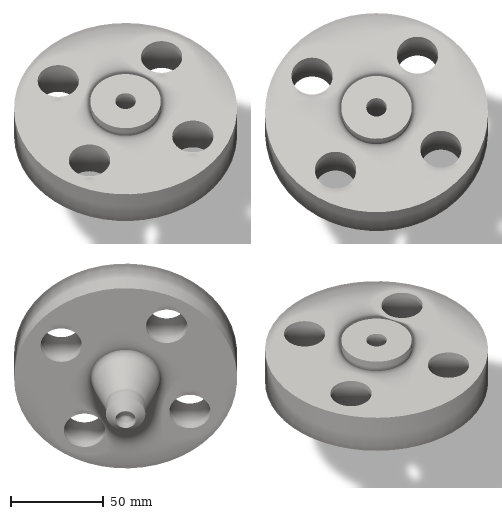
import cadquery as cq

flange_diameter = 120.6
flange_thickness = 22.6
face_diameter = 38.1
face_height = 6.4
hub_diameter = 38.1
hub_height = 25.1
neck_diameter = 21.4
neck_height = 7.7
tip_diameter = 11.3
bevel_height = 5.1
bore_diameter = 11.1
bolt_hole_diameter = 22.3
bolt_spacing = 58.4

neck_bottom = bevel_height
hub_bottom = neck_bottom + neck_height
flange_bottom = hub_bottom + hub_height
flange_top = flange_bottom + flange_thickness
face_top = flange_top + face_height


def make_body():
    """Revolve the half section, leaving the bore open."""
    half_section = (
        cq.Workplane("XZ")
        .moveTo(bore_diameter / 2, 0)
        .lineTo(tip_diameter / 2, 0)
        .lineTo(neck_diameter / 2, neck_bottom)
        .lineTo(neck_diameter / 2, hub_bottom)
        .lineTo(hub_diameter / 2, flange_bottom)
        .lineTo(flange_diameter / 2, flange_bottom)
        .lineTo(flange_diameter / 2, flange_top)
        .lineTo(face_diameter / 2, flange_top)
        .lineTo(face_diameter / 2, face_top)
        .lineTo(bore_diameter / 2, face_top)
        .close()
    )
    return half_section.revolve(360, (0, 0, 0), (0, 1, 0))


def make_bolt_holes():
    """Four through-hole cutters on a square around the axis."""
    return (
        cq.Workplane("XY", origin=(0, 0, flange_bottom))
        .rect(bolt_spacing, bolt_spacing, forConstruction=True)
        .vertices()
        .circle(bolt_hole_diameter / 2)
        .extrude(flange_thickness)
    )


result = make_body().cut(make_bolt_holes())